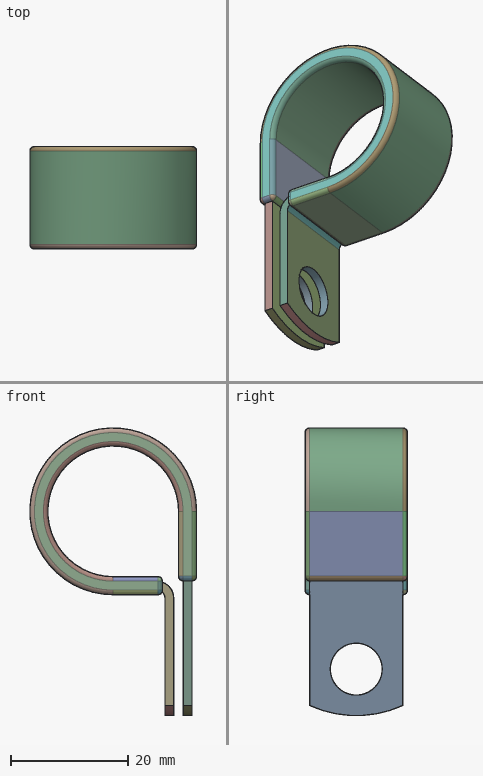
import cadquery as cq
import math


bore_radius = 11.1125
strap_thickness = 1.524
strap_width = 15.875
cushion_wall = 0.79375
leg_gap = 1.5875
bend_inner_radius = 1.35
leg_bottom_z = -34.825
leg_tip_radius = 19.05
hole_diameter = 8.8
hole_to_tip = 7.9375
cushion_leg_end_z = -11.85
cushion_arm_end_x = 8.40

cushion_width = strap_width + 2 * cushion_wall
strap_inner_radius = bore_radius + cushion_wall
strap_outer_radius = strap_inner_radius + strap_thickness
cushion_outer_radius = strap_outer_radius + cushion_wall
bent_leg_outer_x = strap_inner_radius - leg_gap
bent_leg_inner_x = bent_leg_outer_x - strap_thickness
bend_outer_radius = bend_inner_radius + strap_thickness
bend_center_x = bent_leg_inner_x - bend_inner_radius
bend_center_z = -strap_outer_radius - bend_inner_radius
diagonal = math.sqrt(0.5)


def loop_point(radius):
    """Middle of the 270 degree loop arc, at its upper left."""
    return (-radius * diagonal, radius * diagonal)


def bend_point(radius):
    """Middle of the 90 degree bend arc, at its upper right."""
    return (bend_center_x + radius * diagonal, bend_center_z + radius * diagonal)


def extrude_across(profile, width):
    """Turn a closed XZ profile into a solid centred on the XZ plane."""
    return profile.close().extrude(width / 2, both=True)


def edges_across_face(body, face_center):
    """Edges along Y of the face whose centre is nearest the given point."""
    nearest = cq.selectors.NearestToPointSelector(face_center)
    return body.faces(nearest).edges("|Y")


def make_cushion():
    inner = bore_radius
    outer = cushion_outer_radius
    profile = (
        cq.Workplane("XZ")
        .moveTo(inner, cushion_leg_end_z)
        .lineTo(inner, 0)
        .threePointArc(loop_point(inner), (0, -inner))
        .lineTo(cushion_arm_end_x, -inner)
        .lineTo(cushion_arm_end_x, -outer)
        .lineTo(0, -outer)
        .threePointArc(loop_point(outer), (outer, 0))
        .lineTo(outer, cushion_leg_end_z)
    )
    body = extrude_across(profile, cushion_width)
    side_edges = body.faces("|Y").edges()
    middle = (inner + outer) / 2
    arm_end_edges = edges_across_face(body, (cushion_arm_end_x, 0, -middle))
    leg_end_edges = edges_across_face(body, (middle, 0, cushion_leg_end_z))
    return side_edges.add(arm_end_edges).add(leg_end_edges).fillet(cushion_wall)


def make_strap():
    inner = strap_inner_radius
    outer = strap_outer_radius
    profile = (
        cq.Workplane("XZ")
        .moveTo(inner, leg_bottom_z)
        .lineTo(inner, 0)
        .threePointArc(loop_point(inner), (0, -inner))
        .lineTo(bend_center_x, -inner)
        .threePointArc(bend_point(bend_outer_radius), (bent_leg_outer_x, bend_center_z))
        .lineTo(bent_leg_outer_x, leg_bottom_z)
        .lineTo(bent_leg_inner_x, leg_bottom_z)
        .lineTo(bent_leg_inner_x, bend_center_z)
        .threePointArc(bend_point(bend_inner_radius), (bend_center_x, -outer))
        .lineTo(0, -outer)
        .threePointArc(loop_point(outer), (outer, 0))
        .lineTo(outer, leg_bottom_z)
    )
    return extrude_across(profile, strap_width)


def make_leg_envelope():
    """Rounded-tip outline, with the bolt hole, that trims both legs along X."""
    half_width = strap_width / 2
    tip_rise = leg_tip_radius - math.sqrt(leg_tip_radius**2 - half_width**2)
    reach = cushion_outer_radius
    outline = (
        cq.Workplane("YZ")
        .moveTo(-half_width, reach)
        .lineTo(-half_width, leg_bottom_z + tip_rise)
        .threePointArc((0, leg_bottom_z), (half_width, leg_bottom_z + tip_rise))
        .lineTo(half_width, reach)
        .close()
        .extrude(reach, both=True)
    )
    hole = (
        cq.Workplane("YZ")
        .center(0, leg_bottom_z + hole_to_tip)
        .circle(hole_diameter / 2)
        .extrude(reach, both=True)
    )
    return outline.cut(hole)


strap = make_strap().intersect(make_leg_envelope())
result = make_cushion().union(strap)